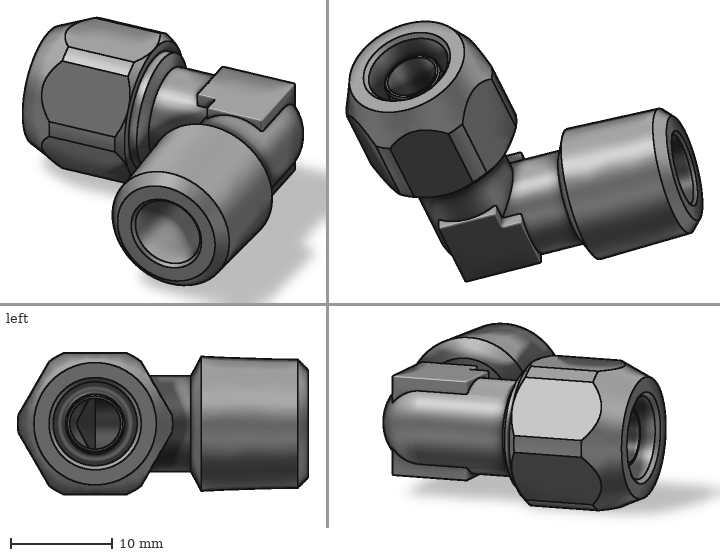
import cadquery as cq
import math


tube_end = -22.5
thread_end = -21.0

body_radius = 4.75

nut_sides = 6
nut_flats = 14.0
nut_corner_radius = 7.63
nut_length = 11.5
nut_face_radius = 6.03
nut_taper_length = 3.6
nut_back_chamfer = 0.75

collar_radius = 6.0
collar_length = 0.87
collar_chamfer_length = 0.7

socket_radius = 4.15
socket_depth = 5.25
socket_chamfer = 0.4
nose_radius = 2.9
nose_setback = 1.43
nose_foot_fillet = 0.38
nose_chamfer = 0.17

thread_radius = 6.65
thread_taper = 1 / 16
thread_start = -10.45
thread_shoulder_length = 1.02
thread_chamfer = 1.05

tube_bore_radius = 2.5
thread_bore_radius = 3.5
thread_bore_chamfer = 0.32
drill_point_angle = 120.0

pad_height = 5.0
pad_half_width = 3.0
pad_arm_length = 4.98
pad_fillet = 0.2


def turned_x(profile):
    """Solid of revolution about X from (x, radius) points."""
    outline = cq.Workplane("XY").polyline(profile).close()
    return outline.revolve(360, (0, 0, 0), (1, 0, 0))


def turned_y(profile):
    """Solid of revolution about Y from (y, radius) points."""
    outline = cq.Workplane("XY").polyline([(radius, y) for y, radius in profile]).close()
    return outline.revolve(360, (0, 0, 0), (0, 1, 0))


def drill_profile(mouth, radius):
    """Axial profile of a drilled hole from its mouth to a drill point past the axis crossing."""
    point_depth = radius / math.tan(math.radians(drill_point_angle / 2))
    return [
        (mouth, 0),
        (mouth, radius),
        (0, radius),
        (point_depth, 0),
    ]


nut_back = tube_end + nut_length


def make_nut():
    vertex_diameter = nut_flats / math.cos(math.pi / nut_sides)
    bar = cq.Workplane("YZ", origin=(tube_end, 0, 0)).polygon(nut_sides, vertex_diameter)
    hexagon = bar.extrude(nut_length)
    envelope = turned_x([
        (tube_end, 0),
        (tube_end, nut_face_radius),
        (tube_end + nut_taper_length, nut_corner_radius),
        (nut_back - nut_back_chamfer, nut_corner_radius),
        (nut_back, nut_flats / 2),
        (nut_back, 0),
    ])
    return hexagon.intersect(envelope)


def make_tube_leg():
    collar_end = nut_back + collar_length
    body_start = collar_end + collar_chamfer_length
    return turned_x([
        (nut_back, 0),
        (nut_back, collar_radius),
        (collar_end, collar_radius),
        (body_start, body_radius),
        (0, body_radius),
        (0, 0),
    ])


def make_thread_leg():
    thread_length = thread_start - thread_end
    chamfer_top = thread_end + thread_chamfer
    chamfer_radius = thread_radius - (thread_length - thread_chamfer) * thread_taper / 2
    return turned_y([
        (thread_end, 0),
        (thread_end, chamfer_radius - thread_chamfer),
        (chamfer_top, chamfer_radius),
        (thread_start, thread_radius),
        (thread_start + thread_shoulder_length, body_radius),
        (0, body_radius),
        (0, 0),
    ])


def make_pads():
    """L-shaped block whose flat ends stand proud of the body on both sides."""
    pads = (
        cq.Workplane("XY", origin=(0, 0, -pad_height))
        .moveTo(-pad_arm_length, pad_half_width)
        .lineTo(pad_half_width, pad_half_width)
        .lineTo(pad_half_width, -pad_arm_length)
        .lineTo(-pad_half_width, -pad_arm_length)
        .lineTo(-pad_half_width, -pad_half_width)
        .lineTo(-pad_arm_length, -pad_half_width)
        .close()
        .extrude(2 * pad_height)
    )
    return pads.edges().fillet(pad_fillet)


def make_socket():
    """Annular space between the nut bore and the nose and in front of the nose."""
    floor = tube_end + socket_depth
    nose_tip = tube_end + nose_setback
    space = turned_x([
        (tube_end, 0),
        (tube_end, socket_radius + socket_chamfer),
        (tube_end + socket_chamfer, socket_radius),
        (floor, socket_radius),
        (floor, 0),
    ])
    nose = (
        cq.Workplane("XY")
        .moveTo(floor, 0)
        .lineTo(floor, nose_radius + nose_foot_fillet)
        .radiusArc((floor - nose_foot_fillet, nose_radius), nose_foot_fillet)
        .lineTo(nose_tip + nose_chamfer, nose_radius)
        .lineTo(nose_tip, nose_radius - nose_chamfer)
        .lineTo(nose_tip, 0)
        .close()
        .revolve(360, (0, 0, 0), (1, 0, 0))
    )
    return space.cut(nose)


def make_thread_bore():
    """Drilled bore along Y with a chamfered mouth."""
    bore = turned_y(drill_profile(thread_end, thread_bore_radius))
    mouth = turned_y([
        (thread_end, 0),
        (thread_end, thread_bore_radius + thread_bore_chamfer),
        (thread_end + thread_bore_chamfer, thread_bore_radius),
        (thread_end + thread_bore_chamfer, 0),
    ])
    return bore.union(mouth)


corner = cq.Workplane("XY").sphere(body_radius)

tube_bore = turned_x(drill_profile(tube_end, tube_bore_radius))

result = (
    make_nut()
    .union(make_tube_leg())
    .union(make_thread_leg())
    .union(corner)
    .union(make_pads())
    .cut(make_socket())
    .cut(tube_bore)
    .cut(make_thread_bore())
)